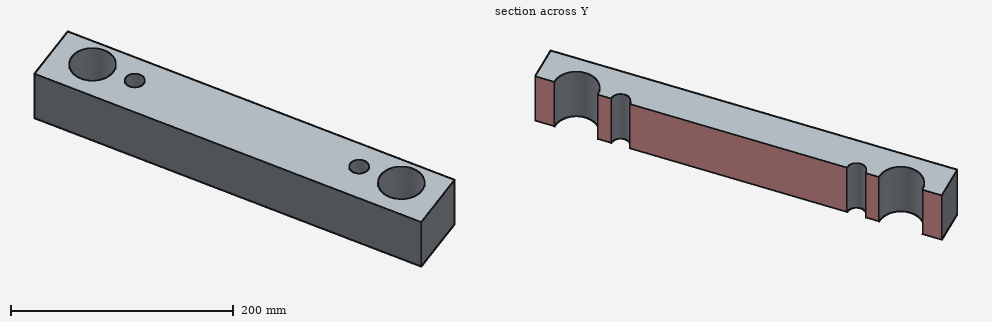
import cadquery as cq

length = 396.0
width = 62.0
height = 56.0

large_hole_diameter = 42.0
large_hole_spacing = 316.0
small_hole_diameter = 18.0
small_hole_spacing = 229.5
hole_line_to_back = 26.5

hole_line_y = width / 2 - hole_line_to_back


def drill_pair(body, diameter, spacing):
    """Drill two through holes placed symmetrically about the middle of the bar."""
    centres = [(-spacing / 2, hole_line_y), (spacing / 2, hole_line_y)]
    return body.faces(">Z").workplane(origin=(0, 0, height)).pushPoints(centres).hole(diameter)


bar = cq.Workplane("XY").box(length, width, height, centered=(True, True, False))
bar = drill_pair(bar, large_hole_diameter, large_hole_spacing)
result = drill_pair(bar, small_hole_diameter, small_hole_spacing)